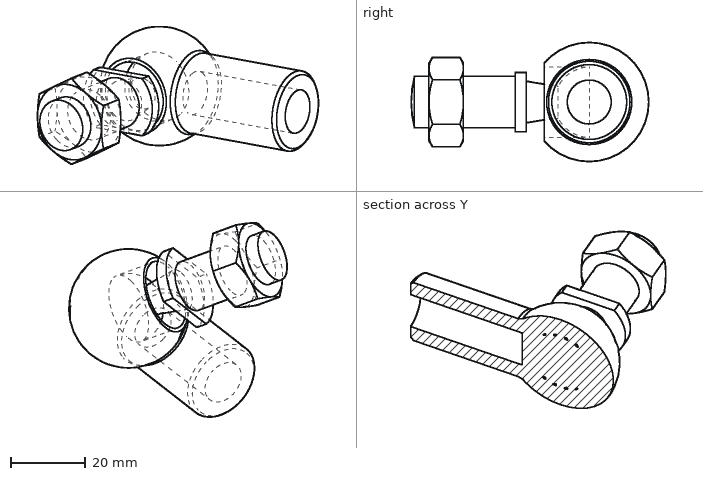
import cadquery as cq
import math


housing_diameter = 32.2
mouth_distance = 12.2
shank_diameter = 22.0
shank_end = 45.0
shank_chamfer = 0.9
blend_start = 11.3
blend_end = 12.65
bore_diameter = 11.85
bore_bottom = 11.55

ball_diameter = 19.0
neck_small_diameter = 8.6
neck_large_diameter = 11.3
thread_diameter = 14.0
stud_tip = 48.05
tip_dome_height = 0.9

collar_start = 16.95
collar_thickness = 3.1
collar_diameter = 22.5
collar_across_flats = 16.05

nut_start = 33.9
nut_thickness = 9.3
nut_across_flats = 20.9
nut_chamfer_angle = 30.0
hexagon_half_sector = 30.0


def stud_plane(distance):
    """Plane across the stud, facing along the stud towards its tip."""
    return cq.Workplane("XZ", origin=(0, -distance, 0))


def make_housing():
    housing_radius = housing_diameter / 2
    shank_radius = shank_diameter / 2
    blend_radius = math.sqrt(housing_radius**2 - blend_start**2)
    ball = cq.Workplane("XY").sphere(housing_radius)
    shank = (
        cq.Workplane("XY")
        .moveTo(0, 0)
        .lineTo(shank_end, 0)
        .lineTo(shank_end, shank_radius - shank_chamfer)
        .lineTo(shank_end - shank_chamfer, shank_radius)
        .lineTo(blend_end, shank_radius)
        .lineTo(blend_start, blend_radius)
        .lineTo(0, blend_radius)
        .close()
        .revolve(360, (0, 0, 0), (1, 0, 0))
    )
    beyond_mouth = stud_plane(mouth_distance).circle(housing_radius).extrude(housing_radius)
    socket = stud_plane(0).circle(ball_diameter / 2).extrude(mouth_distance)
    bore = (
        cq.Workplane("YZ", origin=(bore_bottom, 0, 0))
        .circle(bore_diameter / 2)
        .extrude(shank_end - bore_bottom)
    )
    return ball.union(shank).cut(beyond_mouth).cut(socket).cut(bore)


def make_stud():
    ball_radius = ball_diameter / 2
    neck_small_radius = neck_small_diameter / 2
    thread_radius = thread_diameter / 2
    ball_neck_distance = math.sqrt(ball_radius**2 - neck_small_radius**2)
    dome_start = stud_tip - tip_dome_height
    dome_radius = (thread_radius**2 + tip_dome_height**2) / (2 * tip_dome_height)
    dome_mid_x = thread_radius / 2
    dome_mid_y = stud_tip - dome_radius + math.sqrt(dome_radius**2 - dome_mid_x**2)
    shaft = (
        cq.Workplane("XY")
        .moveTo(0, 0)
        .lineTo(neck_small_radius, 0)
        .lineTo(neck_small_radius, -ball_neck_distance)
        .lineTo(neck_large_diameter / 2, -collar_start)
        .lineTo(thread_radius, -collar_start)
        .lineTo(thread_radius, -dome_start)
        .threePointArc((dome_mid_x, -dome_mid_y), (0, -stud_tip))
        .close()
        .revolve(360, (0, 0, 0), (0, 1, 0))
    )
    return cq.Workplane("XY").sphere(ball_radius).union(shaft)


def make_collar():
    disc = stud_plane(collar_start).circle(collar_diameter / 2).extrude(collar_thickness)
    flats = stud_plane(collar_start).rect(collar_diameter, collar_across_flats).extrude(collar_thickness)
    return disc.intersect(flats)


def make_nut():
    across_corners = nut_across_flats / math.cos(math.radians(hexagon_half_sector))
    face_radius = nut_across_flats / 2
    corner_radius = across_corners / 2
    chamfer_height = (corner_radius - face_radius) * math.tan(math.radians(nut_chamfer_angle))
    nut_end = nut_start + nut_thickness
    hexagon = (
        stud_plane(nut_start)
        .transformed(rotate=(0, 0, hexagon_half_sector))
        .polygon(6, across_corners)
        .extrude(nut_thickness)
    )
    chamfered_envelope = (
        cq.Workplane("XY")
        .moveTo(0, -nut_start)
        .lineTo(face_radius, -nut_start)
        .lineTo(corner_radius, -nut_start - chamfer_height)
        .lineTo(corner_radius, -nut_end + chamfer_height)
        .lineTo(face_radius, -nut_end)
        .lineTo(0, -nut_end)
        .close()
        .revolve(360, (0, 0, 0), (0, 1, 0))
    )
    return hexagon.intersect(chamfered_envelope)


result = make_housing().union(make_stud()).union(make_collar()).union(make_nut())